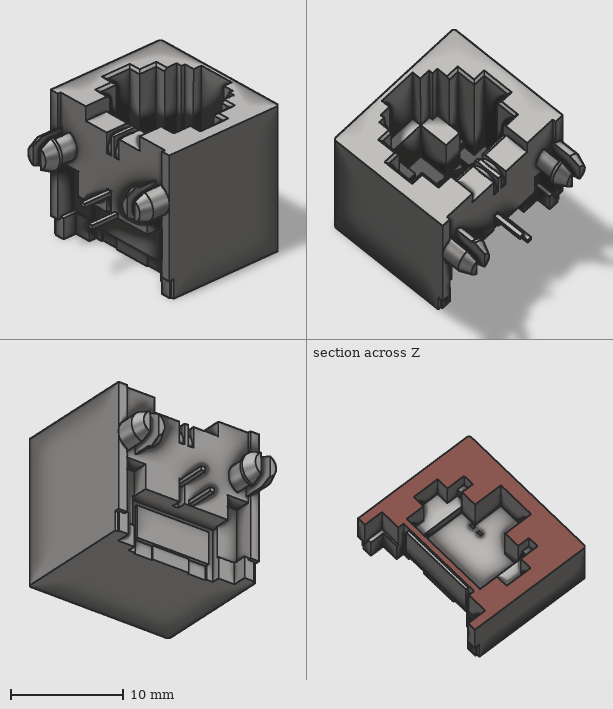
import cadquery as cq
import math


half_width = 7.87
depth = 13.25
height = 14.99
corner_radius = 0.3
rail_inner_x = 6.92
face_y = 0.35

foot_height = 2.0
foot_edge_x = 7.56
foot_edge_y = 0.52

latch_half = 2.01
latch_shoulder_half = 3.15
key_half = 3.8
plug_half = 4.92
wing_half = 6.23
cavity_front_y = 3.24
wing_front_y = 5.24
wing_back_y = 8.03
plug_back_y = 10.03
key_back_y = 11.47
shoulder_back_y = 11.9
shoulder_draft = 0.07
latch_back_y = 12.83
lead_in = 0.28

centre_floor = 1.64
plug_floor = 2.62
ledge_floor = 3.6
key_floor = 7.0
ledge_front_y = 9.25
key_front_y = 8.75

notch_half = 3.58
notch_floor = 13.48
notch_bevel = 0.36

contact_pitch = 1.0
contact_x = contact_pitch / 2
contact_width = 0.45
contact_thickness = 0.43
contact_front_y = 0.45
bend_radius = 1.44
bend_z = 11.75
tail_angle = math.radians(60)
tail_end_y = 7.4
pin_tip_y = -2.78
upper_pin_z = 7.15
lower_pin_z = 5.35
contact_slot_width = 0.59
contact_slot_floor = 11.37
pin_slot_top = 7.67
pin_slot_depth_y = 1.31

side_inner_x = 4.6
side_top = 7.82
side_back_y = 2.03
shelf_z = 2.2
shelf_outer_x = 6.51
shelf_back_y = 1.83
centre_half = 4.73
centre_top = 5.28
centre_back_y = 2.65
panel_half = 4.01
panel_bottom = 1.42
panel_top = 4.73
panel_front_y = 2.35
groove_back_y = 2.81

peg_x = 6.31
peg_z = 9.91
peg_radius = 1.59
barb_radius = 1.82
barb_tip_radius = 1.23
outer_tip_radius = 1.11
peg_slot_inner_x = 5.73
peg_slot_outer_x = 6.72
barb_start_y = -1.64
taper_start_y = -1.93
peg_tip_y = -3.11


def box(x0, x1, y0, y1, z0, z1):
    return cq.Workplane("XY").box(x1 - x0, y1 - y0, z1 - z0, centered=False).translate((x0, y0, z0))


def centred_box(half, y0, y1, z0, z1):
    return box(-half, half, y0, y1, z0, z1)


def both_sides(shape):
    return shape.union(shape.mirror("YZ"))


def symmetric_outline(right_points, z):
    left_points = [(-x, y) for x, y in reversed(right_points)]
    return cq.Workplane("XY").workplane(offset=z).polyline(right_points + left_points).close()


def make_housing():
    block = centred_box(half_width, 0, depth, 0, height)
    block = block.edges("|Z and >Y").fillet(corner_radius)
    block = block.cut(centred_box(rail_inner_x, 0, face_y, 0, height))
    block = block.cut(centred_box(half_width, 0, face_y, 0, foot_height))
    return block.cut(both_sides(box(foot_edge_x, half_width, 0, foot_edge_y, 0, foot_height)))


def plug_outline(grow, z):
    """Stepped plug opening, without the latch channel, enlarged by grow."""
    return symmetric_outline(
        [
            (plug_half + grow, cavity_front_y - grow),
            (plug_half + grow, wing_front_y - grow),
            (wing_half + grow, wing_front_y - grow),
            (wing_half + grow, wing_back_y + grow),
            (plug_half + grow, wing_back_y + grow),
            (plug_half + grow, plug_back_y + grow),
        ],
        z,
    )


def make_cavity():
    cavity = plug_outline(0, plug_floor).extrude(height - plug_floor)
    ledge = box(key_half, plug_half, ledge_front_y, plug_back_y, plug_floor, ledge_floor)
    cavity = cavity.cut(both_sides(ledge))
    cavity = cavity.cut(centred_box(key_half, key_front_y, plug_back_y, plug_floor, key_floor))
    cavity = cavity.union(centred_box(key_half, key_front_y, key_back_y, key_floor, height))
    cavity = cavity.union(make_latch_shoulder())
    cavity = cavity.union(centred_box(latch_half, key_front_y, latch_back_y, key_floor, height))
    latch_channel_back_y = shoulder_back_y - shoulder_draft
    cavity = cavity.union(centred_box(key_half, cavity_front_y, key_front_y, centre_floor, height))
    return cavity.union(centred_box(latch_half, key_front_y, latch_channel_back_y, centre_floor, height))


def make_latch_shoulder():
    """Clearance beside the latch, with a slightly drafted back wall."""
    return (
        cq.Workplane("YZ")
        .polyline(
            [
                (key_front_y, key_floor),
                (shoulder_back_y - shoulder_draft, key_floor),
                (shoulder_back_y, height),
                (key_front_y, height),
            ]
        )
        .close()
        .extrude(latch_shoulder_half, both=True)
    )


def make_entry():
    """Bevel around the plug opening at the rim."""
    inner = plug_outline(0, height - lead_in).wire().val()
    outer = plug_outline(lead_in, height).wire().val()
    return cq.Workplane(obj=cq.Solid.makeLoft([inner, outer], True))


def make_notch():
    notch = centred_box(notch_half, face_y, cavity_front_y, notch_floor, height)
    bevel = (
        cq.Workplane("YZ")
        .polyline(
            [
                (cavity_front_y, notch_floor - notch_bevel),
                (cavity_front_y, notch_floor),
                (cavity_front_y - notch_bevel, notch_floor),
            ]
        )
        .close()
        .extrude(notch_half, both=True)
    )
    return notch.union(bevel)


def make_board_recesses():
    side = box(side_inner_x, rail_inner_x, 0, side_back_y, shelf_z, side_top)
    shelf = box(centre_half, shelf_outer_x, 0, shelf_back_y, 0, shelf_z)
    groove = box(latch_half, panel_half, 0, groove_back_y, 0, panel_bottom)
    recesses = both_sides(side.union(shelf).union(groove))
    recesses = recesses.union(centred_box(centre_half, 0, centre_back_y, 0, centre_top))
    panel = centred_box(panel_half, panel_front_y, centre_back_y, panel_bottom, panel_top)
    return recesses.cut(panel)


def make_contact_slots():
    half = contact_slot_width / 2
    slot = box(contact_x - half, contact_x + half, 0, cavity_front_y, contact_slot_floor, height)
    pin_slot = box(-contact_x - half, half - contact_x, 0, pin_slot_depth_y, centre_top, pin_slot_top)
    return both_sides(slot).union(pin_slot)


def make_contact(x, pin_z):
    """Bent wire: board pin, leg, bend over the rim, and tail sloping into the cavity."""
    centre_y = contact_front_y + bend_radius
    inner_radius = bend_radius - contact_thickness
    tail_run = tail_end_y - centre_y - bend_radius * math.sin(tail_angle)
    tail_length = tail_run / math.cos(tail_angle)

    def on_bend(radius, angle):
        return (centre_y + radius * math.sin(angle), bend_z + radius * math.cos(angle))

    def tail_end(radius):
        y, z = on_bend(radius, tail_angle)
        return (y + tail_length * math.cos(tail_angle), z - tail_length * math.sin(tail_angle))

    bend_middle = (tail_angle - math.pi / 2) / 2
    leg_back_y = contact_front_y + contact_thickness
    return (
        cq.Workplane("YZ", origin=(x - contact_width / 2, 0, 0))
        .moveTo(pin_tip_y, pin_z)
        .lineTo(pin_tip_y, pin_z + contact_thickness)
        .lineTo(contact_front_y, pin_z + contact_thickness)
        .lineTo(contact_front_y, bend_z)
        .threePointArc(on_bend(bend_radius, bend_middle), on_bend(bend_radius, tail_angle))
        .lineTo(*tail_end(bend_radius))
        .lineTo(*tail_end(inner_radius))
        .lineTo(*on_bend(inner_radius, tail_angle))
        .threePointArc(on_bend(inner_radius, bend_middle), (leg_back_y, bend_z))
        .lineTo(leg_back_y, pin_z)
        .close()
        .extrude(contact_width)
    )


def turned(profile):
    """Revolve (radius, y) points around the axis of the right-hand peg."""
    return (
        cq.Workplane("XY", origin=(peg_x, 0, peg_z))
        .polyline(profile)
        .close()
        .revolve(360, (0, 0, 0), (0, 1, 0))
    )


def make_peg():
    outer = turned(
        [
            (0, face_y),
            (peg_radius, face_y),
            (peg_radius, taper_start_y),
            (outer_tip_radius, peg_tip_y),
            (0, peg_tip_y),
        ]
    )
    inner = turned(
        [
            (0, face_y),
            (peg_radius, face_y),
            (peg_radius, barb_start_y),
            (barb_radius, barb_start_y),
            (barb_radius, taper_start_y),
            (barb_tip_radius, peg_tip_y),
            (0, peg_tip_y),
        ]
    )
    bottom_z = peg_z - barb_radius
    top_z = peg_z + barb_radius
    outer_side = box(peg_slot_outer_x, peg_x + barb_radius, peg_tip_y, 0, bottom_z, top_z)
    outer_side = outer_side.union(box(peg_slot_outer_x, rail_inner_x, 0, face_y, bottom_z, top_z))
    inner_side = box(peg_x - barb_radius, peg_slot_inner_x, peg_tip_y, face_y, bottom_z, top_z)
    return outer.intersect(outer_side).union(inner.intersect(inner_side))


result = make_housing()
result = result.cut(make_cavity()).cut(make_entry()).cut(make_notch())
result = result.cut(make_board_recesses()).cut(make_contact_slots())
result = result.union(make_contact(-contact_x, upper_pin_z)).union(make_contact(contact_x, lower_pin_z))
result = result.union(both_sides(make_peg()))